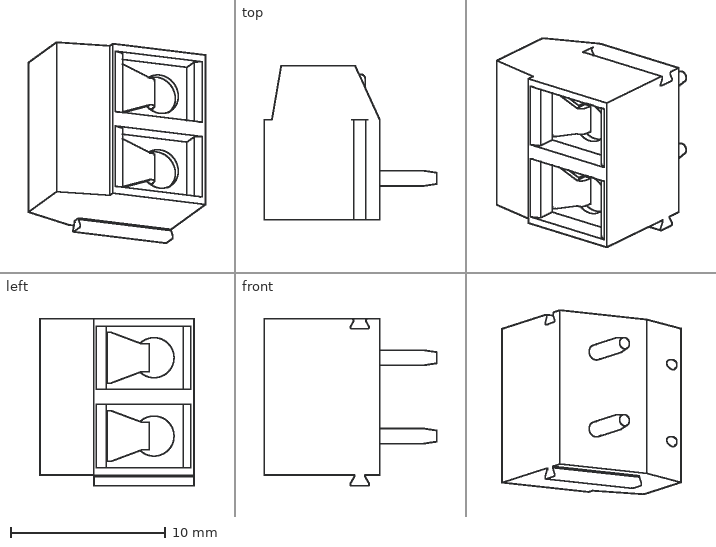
import cadquery as cq
import math


POLE_COUNT = 2
PITCH = 5.08
BODY_DEPTH = 7.5
BODY_WIDTH = 10.0
BODY_HEIGHT = POLE_COUNT * PITCH
SHOULDER_Y = 6.5
SHOULDER_STEP = 0.5
TOP_FRONT_X = 1.1
TOP_BACK_X = 5.9
POLE_CENTERS = [PITCH * (i + 0.5) for i in range(POLE_COUNT)]

OPENING_HEIGHT = 4.1
OPENING_Y_MIN = 0.22
OPENING_Y_MAX = 6.34
FLOOR_Y_MIN = 0.69
FLOOR_Y_MAX = 5.71
OPENING_BEVEL_DEPTH = 0.28
OPENING_DEPTH = 1.5
WIRE_HOLE_Y = 2.6
WIRE_HOLE_RADIUS = 1.3
WIRE_HOLE_DEPTH = 0.5

TONGUE_RISE = 0.34
TONGUE_BEND_RADIUS = 0.4
TONGUE_Y_MAX = 5.63
TONGUE_Y_MIN = 2.9
TONGUE_LEG_LEAN = math.radians(8)
TONGUE_TAPER_START_Y = 5.38
TONGUE_TAPER_END_Y = 3.4
TONGUE_WIDE = 3.28
TONGUE_NARROW = 1.8

PIN_Y = 2.69
PIN_RADIUS = 0.5
PIN_TIP_RADIUS = 0.37
PIN_LENGTH = 3.7
PIN_TIP_LENGTH = 0.85

DOVETAIL_X = 6.2
DOVETAIL_TAN = math.tan(math.radians(30))
CORNER_RADIUS = 0.11
RAIL_HEIGHT = 0.69
RAIL_NECK_HALF = 0.355
RAIL_NECK_HEIGHT = 0.09
GROOVE_DEPTH = 0.67
GROOVE_MOUTH_HALF = 0.30
GROOVE_MOUTH_RADIUS = 0.135

STUD_X = 6.23
STUD_RADIUS = 0.34
STUD_BASE_Y = 8.0
STUD_TIP_Y = 9.45


def make_housing():
    outline = [
        (0, 0),
        (BODY_DEPTH, 0),
        (BODY_DEPTH, SHOULDER_Y),
        (TOP_BACK_X, BODY_WIDTH),
        (TOP_FRONT_X, BODY_WIDTH),
        (SHOULDER_STEP, SHOULDER_Y),
        (0, SHOULDER_Y),
    ]
    return cq.Workplane("XY").polyline(outline).close().extrude(BODY_HEIGHT)


def make_opening(center_z):
    outline = [
        (0, OPENING_Y_MIN),
        (OPENING_BEVEL_DEPTH, FLOOR_Y_MIN),
        (OPENING_DEPTH, FLOOR_Y_MIN),
        (OPENING_DEPTH, FLOOR_Y_MAX),
        (OPENING_BEVEL_DEPTH, FLOOR_Y_MAX),
        (0, OPENING_Y_MAX),
    ]
    pocket = (
        cq.Workplane("XY", origin=(0, 0, center_z - OPENING_HEIGHT / 2))
        .polyline(outline)
        .close()
        .extrude(OPENING_HEIGHT)
    )
    hole = (
        cq.Workplane("YZ", origin=(OPENING_DEPTH, WIRE_HOLE_Y, center_z))
        .circle(WIRE_HOLE_RADIUS)
        .extrude(WIRE_HOLE_DEPTH)
    )
    return pocket.union(hole)


def make_tongue(center_z):
    face_x = OPENING_DEPTH - TONGUE_RISE
    back_x = OPENING_DEPTH + WIRE_HOLE_DEPTH
    bend_x = face_x + TONGUE_BEND_RADIUS
    leg_x = bend_x - TONGUE_BEND_RADIUS * math.sin(TONGUE_LEG_LEAN)
    leg_y = TONGUE_Y_MIN + (back_x - leg_x) * math.tan(TONGUE_LEG_LEAN)
    bend_y = leg_y + TONGUE_BEND_RADIUS * math.cos(TONGUE_LEG_LEAN)
    side = (
        cq.Workplane("XY", origin=(0, 0, center_z - TONGUE_WIDE / 2))
        .moveTo(back_x, TONGUE_Y_MIN)
        .lineTo(leg_x, leg_y)
        .radiusArc((face_x, bend_y), TONGUE_BEND_RADIUS)
        .lineTo(face_x, TONGUE_Y_MAX - TONGUE_BEND_RADIUS)
        .radiusArc((bend_x, TONGUE_Y_MAX), TONGUE_BEND_RADIUS)
        .lineTo(back_x, TONGUE_Y_MAX)
        .close()
        .extrude(TONGUE_WIDE)
    )
    lower_edge = [
        (TONGUE_Y_MAX, -TONGUE_WIDE / 2),
        (TONGUE_TAPER_START_Y, -TONGUE_WIDE / 2),
        (TONGUE_TAPER_END_Y, -TONGUE_NARROW / 2),
        (TONGUE_Y_MIN, -TONGUE_NARROW / 2),
    ]
    upper_edge = [(y, -z) for y, z in reversed(lower_edge)]
    plan = (
        cq.Workplane("YZ", origin=(0, 0, center_z))
        .polyline(lower_edge + upper_edge)
        .close()
        .extrude(back_x)
    )
    return side.intersect(plan)


def make_pin(center_z):
    shank_end = PIN_LENGTH - PIN_TIP_LENGTH
    outline = [
        (0, 0),
        (0, -PIN_RADIUS),
        (shank_end, -PIN_RADIUS),
        (PIN_LENGTH, -PIN_TIP_RADIUS),
        (PIN_LENGTH, 0),
    ]
    return (
        cq.Workplane("XY", origin=(BODY_DEPTH, PIN_Y, center_z))
        .polyline(outline)
        .close()
        .revolve(360, (0, 0), (1, 0))
    )


def make_stud(center_z):
    ball_y = STUD_TIP_Y - STUD_RADIUS
    shank = (
        cq.Workplane("XZ", origin=(STUD_X, STUD_BASE_Y, center_z))
        .circle(STUD_RADIUS)
        .extrude(STUD_BASE_Y - ball_y)
    )
    ball = cq.Workplane("XY", origin=(STUD_X, ball_y, center_z)).sphere(STUD_RADIUS)
    return shank.union(ball)


def extrude_dovetail(half_outline, surface_z):
    mirrored = [(-x, z) for x, z in reversed(half_outline)]
    return (
        cq.Workplane("XZ", origin=(DOVETAIL_X, 0, surface_z))
        .polyline(half_outline + mirrored)
        .close()
        .extrude(-SHOULDER_Y)
    )


def make_rail():
    foot_half = RAIL_NECK_HALF + (RAIL_HEIGHT - RAIL_NECK_HEIGHT) * DOVETAIL_TAN
    half_outline = [
        (RAIL_NECK_HALF, 0),
        (RAIL_NECK_HALF, -RAIL_NECK_HEIGHT),
        (foot_half, -RAIL_HEIGHT),
    ]
    return extrude_dovetail(half_outline, 0).edges("|Y and <Z").fillet(CORNER_RADIUS)


def cut_groove(body):
    bottom_half = GROOVE_MOUTH_HALF + GROOVE_DEPTH * DOVETAIL_TAN
    half_outline = [(GROOVE_MOUTH_HALF, 0), (bottom_half, -GROOVE_DEPTH)]
    groove = extrude_dovetail(half_outline, BODY_HEIGHT)
    groove = groove.edges("|Y and <Z").fillet(CORNER_RADIUS)
    mouth_edges = cq.selectors.BoxSelector(
        (DOVETAIL_X - bottom_half, 0, BODY_HEIGHT - CORNER_RADIUS),
        (DOVETAIL_X + bottom_half, SHOULDER_Y, BODY_HEIGHT + CORNER_RADIUS),
    )
    return body.cut(groove).edges("|Y").edges(mouth_edges).fillet(GROOVE_MOUTH_RADIUS)


result = cut_groove(make_housing())
result = result.union(make_rail())
for pole_z in POLE_CENTERS:
    result = result.cut(make_opening(pole_z))
    result = result.union(make_tongue(pole_z))
    result = result.union(make_pin(pole_z))
    result = result.union(make_stud(pole_z))